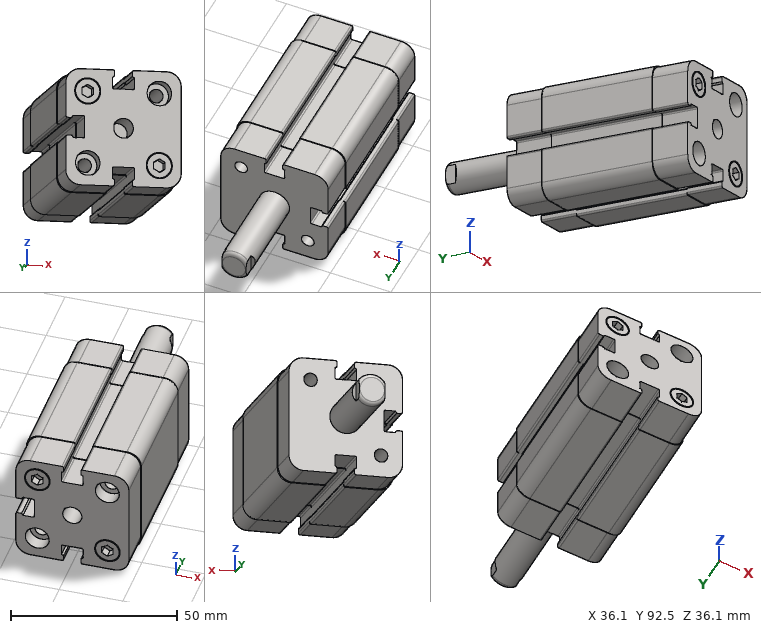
import cadquery as cq
import math

total_length = 92.5
body_length = 63.0
cap_length = 12.2
y_back = -total_length / 2
y_tip = total_length / 2
y_body_end = y_back + body_length

barrel_width = 36.1
cap_width = 35.5
corner_radius = 4.5

slot_mouth_width = 5.5
slot_inner_width = 6.75
slot_lip_thickness = 1.85
slot_depth = 5.8
slot_mouth_round = 0.6
slot_lip_slope = 0.5
slot_floor_round = 0.5
slot_angles = (0, 90, 180)

bolt_offset = 11.0
through_diameter = 4.2
counterbore_diameter = 7.5
counterbore_depth = 4.6
screw_recess_diameter = 8.0
screw_head_diameter = 7.5
screw_gap_depth = 0.2
hex_flats = 3.5
hex_depth = 2.8
hex_turn = 30

port_diameter = 6.0
port_depth = 9.25

rod_diameter = 10.0
rod_tip_round = 1.2
flats_width = 8.05
flats_length = 3.5


def square_prism(width, y_start, length):
    """Square bar along Y with rounded long edges."""
    bar = cq.Workplane("XY").box(width, length, width).edges("|Y").fillet(corner_radius)
    return bar.translate((0, y_start + length / 2, 0))


def back_plane(y):
    """Plane at the given Y, with local axes (X, Z) and its normal toward -Y."""
    return cq.Workplane("XZ", origin=(0, y, 0))


def slot_cutter(width):
    """Undercut slot with sloped lips for the +Z face of a bar of the given width."""
    surface = width / 2
    floor = surface - slot_depth
    mouth = slot_mouth_width / 2
    inner = slot_inner_width / 2
    lip_edge = surface - slot_lip_thickness
    lip_root = lip_edge - slot_lip_slope
    flare = mouth + slot_mouth_round
    round_start = surface - slot_mouth_round
    bend = slot_mouth_round * (1 - math.sqrt(0.5))
    return (
        back_plane(y_body_end)
        .moveTo(-inner, floor)
        .lineTo(inner, floor)
        .lineTo(inner, lip_root)
        .lineTo(mouth, lip_edge)
        .lineTo(mouth, round_start)
        .threePointArc((mouth + bend, surface - bend), (flare, surface))
        .lineTo(-flare, surface)
        .threePointArc((-mouth - bend, surface - bend), (-mouth, round_start))
        .lineTo(-mouth, lip_edge)
        .lineTo(-inner, lip_root)
        .close()
        .extrude(body_length)
        .edges("|Y")
        .edges("<Z")
        .fillet(slot_floor_round)
    )


def slotted_section(width, y_start, length):
    """One length of the body with its three slots."""
    section = square_prism(width, y_start, length)
    for angle in slot_angles:
        section = section.cut(slot_cutter(width).rotate((0, 0, 0), (0, 1, 0), -angle))
    return section


def make_body():
    barrel = slotted_section(barrel_width, y_back + cap_length, body_length - 2 * cap_length)
    back_cap = slotted_section(cap_width, y_back, cap_length)
    front_cap = slotted_section(cap_width, y_body_end - cap_length, cap_length)
    return barrel.union(back_cap).union(front_cap)


def mounting_holes():
    """Counterbored through holes on one diagonal."""
    points = [(bolt_offset, bolt_offset), (-bolt_offset, -bolt_offset)]
    bores = back_plane(y_body_end).pushPoints(points).circle(through_diameter / 2).extrude(body_length)
    heads = (
        back_plane(y_back + counterbore_depth)
        .pushPoints(points)
        .circle(counterbore_diameter / 2)
        .extrude(counterbore_depth)
    )
    return bores.union(heads)


def screw_details():
    """Ring gap and hex socket of the flush cap screws on the other diagonal."""
    points = [(-bolt_offset, bolt_offset), (bolt_offset, -bolt_offset)]
    gaps = (
        back_plane(y_back + screw_gap_depth)
        .pushPoints(points)
        .circle(screw_recess_diameter / 2)
        .circle(screw_head_diameter / 2)
        .extrude(screw_gap_depth)
    )
    hex_corners = hex_flats / math.cos(math.pi / 6)
    sockets = (
        cq.Workplane("XY")
        .polygon(6, hex_corners)
        .extrude(hex_depth)
        .rotate((0, 0, 0), (0, 0, 1), hex_turn)
        .rotate((0, 0, 0), (1, 0, 0), -90)
    )
    for x, z in points:
        gaps = gaps.union(sockets.translate((x, y_back, z)))
    return gaps


def make_port():
    return back_plane(y_back + port_depth).circle(port_diameter / 2).extrude(port_depth)


def make_rod():
    """Round rod with a rounded tip and two wrench flats facing -X and +X."""
    radius = rod_diameter / 2
    flat = flats_width / 2
    y_flats = y_tip - flats_length
    rod = back_plane(y_tip).circle(radius).extrude(y_tip - y_body_end).edges(">Y").fillet(rod_tip_round)
    flat_cutter = (
        cq.Workplane("XY")
        .moveTo(flat, y_tip)
        .lineTo(flat, y_flats)
        .lineTo(radius, y_flats - (radius - flat))
        .lineTo(rod_diameter, y_flats - (radius - flat))
        .lineTo(rod_diameter, y_tip)
        .close()
        .extrude(radius, both=True)
    )
    return rod.cut(flat_cutter).cut(flat_cutter.mirror("YZ"))


result = make_body().cut(mounting_holes()).cut(screw_details()).cut(make_port()).union(make_rod())